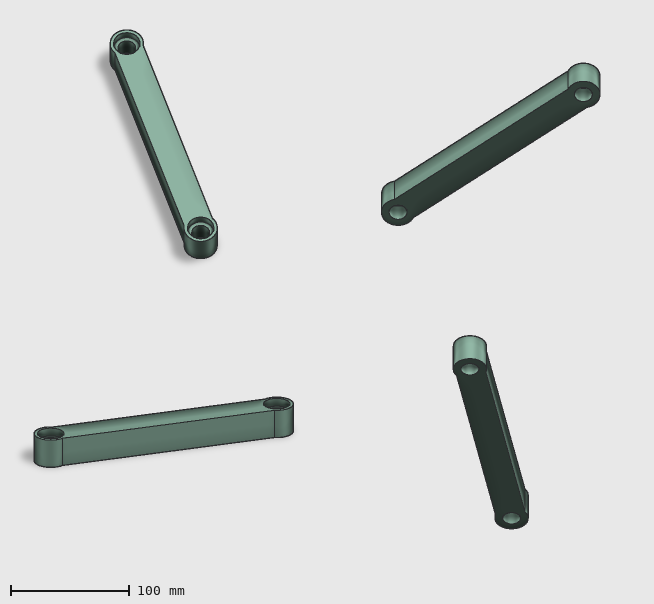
import cadquery as cq

length = 228.0
height = 25.0
boss_diameter = 28.0
bar_width = 25.0

bore_diameter = 15.0
seat_diameter = 22.1
seat_depth = 7.0

center_distance = length - boss_diameter
boss_centers = [(-center_distance / 2, 0), (center_distance / 2, 0)]

bar = cq.Workplane("XY").box(center_distance, bar_width, height, centered=(True, True, False))

bosses = cq.Workplane("XY").pushPoints(boss_centers).circle(boss_diameter / 2).extrude(height)

result = (
    bar.union(bosses)
    .faces(">Z")
    .workplane(origin=(0, 0, height))
    .pushPoints(boss_centers)
    .cboreHole(bore_diameter, seat_diameter, seat_depth)
)